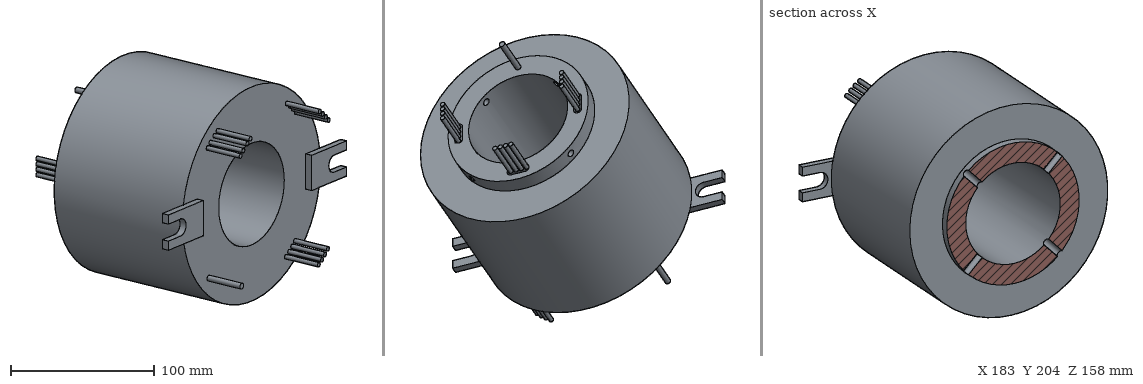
import cadquery as cq


bore_diameter = 75.0
flange_diameter = 106.0
flange_length = 12.0
housing_diameter = 158.0
housing_length = 113.0
housing_back = flange_length + housing_length

screw_hole_diameter = 5.0
screw_hole_count = 4
first_screw_angle = 45.0

lead_length = 29.0
lead_diameter = 3.3
single_lead_diameter = 4.2
lead_pitch = 4.0
quad_count = 4

outlet_radius = 45.0
outlet_width = 6.0
outlet_length = 16.5
single_outlet_length = 11.5
outlet_depth = 3.0
quad_outlet_angles = (90.0, 180.0, 270.0)
quad_lead_shift = 0.6

stator_lead_radius = 69.0
even_group_centers = (-41.5, -139.5)
even_group_step = 3.8
paired_group_center = 40.4
pair_spread = 4.35
pair_step = 3.7
single_stator_angle = 135.0

bracket_thickness = 5.3
bracket_length = 40.0
bracket_width = 26.0
bracket_tip = 102.0
fork_width = 12.5
fork_center = 88.0


def turned_about_axis(shape, angle):
    """Rotate a shape about X; angle 0 is the top (+Z) and positive angles go towards -Y."""
    return shape.rotate((0, 0, 0), (1, 0, 0), angle)


def cylinder_along_x(diameter, start, length, y=0.0, z=0.0):
    return cq.Workplane("YZ", origin=(start, y, z)).circle(diameter / 2).extrude(length)


def make_body():
    flange = cylinder_along_x(flange_diameter, 0, flange_length)
    housing = cylinder_along_x(housing_diameter, flange_length, housing_length)
    bore = cylinder_along_x(bore_diameter, 0, housing_back)
    return flange.union(housing).cut(bore)


def make_screw_hole(angle):
    hole = cq.Workplane("XY", origin=(flange_length / 2, 0, 0))
    hole = hole.circle(screw_hole_diameter / 2).extrude(flange_diameter / 2)
    return turned_about_axis(hole, angle)


def make_plug(length):
    """Potting plug that fills an outlet slot flush with the flange face."""
    plug = cq.Workplane("YZ", origin=(0, 0, outlet_radius))
    return plug.slot2D(length, outlet_width).extrude(outlet_depth)


def make_rotor_lead(diameter, offset):
    return cylinder_along_x(diameter, -lead_length, lead_length, y=offset, z=outlet_radius)


def make_single_outlet():
    return make_plug(single_outlet_length).union(make_rotor_lead(single_lead_diameter, 0))


def make_quad_outlet(angle):
    outlet = make_plug(outlet_length)
    for index in range(quad_count):
        offset = (index - (quad_count - 1) / 2) * lead_pitch + quad_lead_shift
        outlet = outlet.union(make_rotor_lead(lead_diameter, offset))
    return turned_about_axis(outlet, angle)


def make_stator_lead(diameter, angle):
    lead = cylinder_along_x(diameter, housing_back, lead_length, z=stator_lead_radius)
    return turned_about_axis(lead, angle)


def stator_quad_angles():
    """Angles of all leads of the three four-lead groups."""
    angles = []
    for center in even_group_centers:
        angles += [center + (index - (quad_count - 1) / 2) * even_group_step for index in range(quad_count)]
    for side in (-1, 1):
        pair_center = paired_group_center + side * pair_spread
        angles += [pair_center - pair_step / 2, pair_center + pair_step / 2]
    return angles


def make_bracket():
    """Bracket on the +Y side with an open-ended fork slot."""
    plate_center = bracket_tip - bracket_length / 2
    plate = cq.Workplane("YZ", origin=(housing_back, plate_center, 0))
    plate = plate.rect(bracket_length, bracket_width).extrude(bracket_thickness)
    slot_length = 2 * (bracket_tip - fork_center) + fork_width
    slot = cq.Workplane("YZ", origin=(housing_back, bracket_tip, 0))
    slot = slot.slot2D(slot_length, fork_width).extrude(bracket_thickness)
    return plate.cut(slot)


body = make_body()
for index in range(screw_hole_count):
    body = body.cut(make_screw_hole(first_screw_angle + index * 360 / screw_hole_count))

bracket = make_bracket()
body = body.union(bracket).union(bracket.mirror("XZ"))

for lead_angle in stator_quad_angles():
    body = body.union(make_stator_lead(lead_diameter, lead_angle))
body = body.union(make_stator_lead(single_lead_diameter, single_stator_angle))

outlets = [make_single_outlet()]
outlets += [make_quad_outlet(angle) for angle in quad_outlet_angles]
for outlet in outlets:
    body = body.cut(outlet, clean=False).union(outlet, clean=False)

result = body